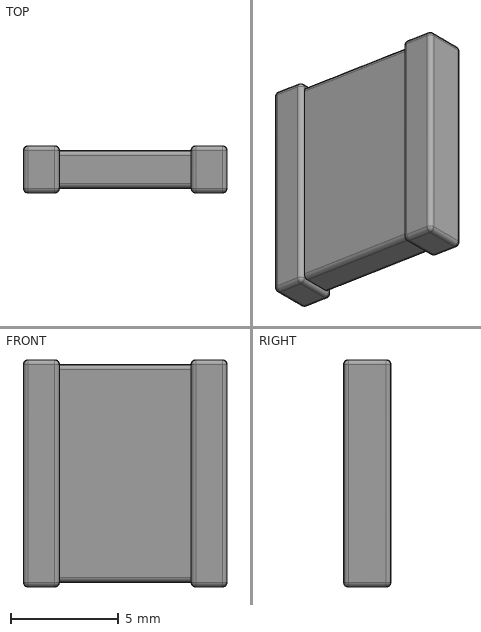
import cadquery as cq

chip_length = 9.5
chip_thickness = 2.2
chip_height = 10.6

terminal_width = 1.67
terminal_step = 0.22
edge_radius = 0.22

core_length = chip_length - 2 * terminal_width
core_thickness = chip_thickness - 2 * terminal_step
core_height = chip_height - 2 * terminal_step
terminal_centre_x = (chip_length - terminal_width) / 2


def make_core():
    """Core block, rounded along its length, with flat ends against the terminals."""
    core = cq.Workplane("XY").box(core_length, core_thickness, core_height)
    return core.edges("|X").fillet(edge_radius)


def make_terminal(side):
    """End terminal, a block rounded on every edge; side is -1 or +1 along X."""
    block = cq.Workplane("XY").box(terminal_width, chip_thickness, chip_height)
    return block.edges().fillet(edge_radius).translate((side * terminal_centre_x, 0, 0))


core = make_core()
terminals = [make_terminal(side) for side in (-1, 1)]

result = cq.Compound.makeCompound([core.val(), *[terminal.val() for terminal in terminals]])